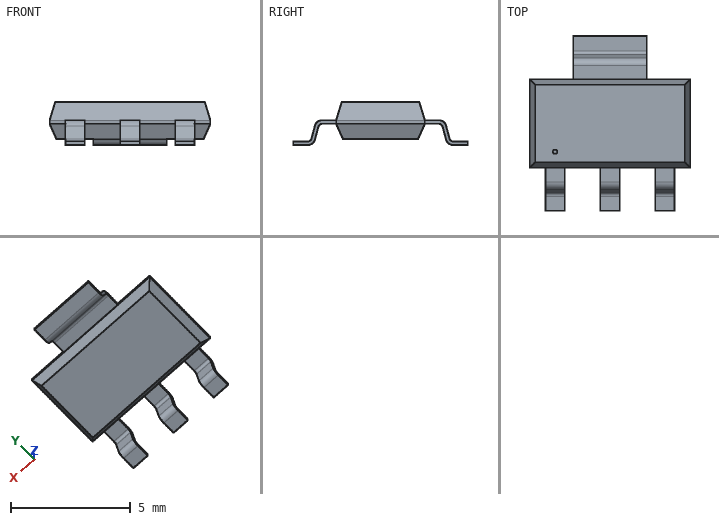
import cadquery as cq
import math

overall_length_y = 7.29
overall_height = 1.81

housing_x = 6.71
housing_y = 3.7
housing_bottom_z = 0.25
belt_top_z = 1.04
top_inset = 0.23
bottom_inset = 0.285

strip_thickness = 0.16
bend_radius = 0.23
leg_lean = math.radians(15)
bend_start_y = 2.435
lead_width = 0.82
lead_pitch = 2.29
tab_width = 3.08

belt_bottom_z = belt_top_z - strip_thickness

marker_diameter = 0.18
marker_depth = 0.04
marker_x = -lead_pitch
marker_y = -1.18


def frustum(start_z, height, inset):
    """Tapered block from the belt outline to an outline smaller by inset."""
    return (
        cq.Workplane("XY", origin=(0, 0, start_z))
        .rect(housing_x, housing_y)
        .workplane(offset=height)
        .rect(housing_x - 2 * inset, housing_y - 2 * inset)
        .loft(ruled=True)
    )


def make_marker():
    return (
        cq.Workplane("XY", origin=(marker_x, marker_y, overall_height - marker_depth))
        .circle(marker_diameter / 2)
        .extrude(marker_depth)
    )


def make_housing():
    belt = (
        cq.Workplane("XY", origin=(0, 0, belt_bottom_z))
        .rect(housing_x, housing_y)
        .extrude(strip_thickness)
    )
    upper = frustum(belt_top_z, overall_height - belt_top_z, top_inset)
    lower = frustum(belt_bottom_z, housing_bottom_z - belt_bottom_z, bottom_inset)
    return belt.union(upper).union(lower).cut(make_marker())


def make_strip(width):
    """Gull-wing strip leaving the -Y side of the housing, centred on X = 0."""
    turn = math.pi / 2 - leg_lean
    upper_z = belt_top_z - strip_thickness / 2
    foot_z = strip_thickness / 2
    bend_run = bend_radius * math.sin(turn)
    bend_drop = bend_radius * (1 - math.cos(turn))
    leg_drop = upper_z - foot_z - 2 * bend_drop
    leg_run = leg_drop * math.tan(leg_lean)

    half = strip_thickness / 2
    side_y = half * math.cos(leg_lean)
    side_z = half * math.sin(leg_lean)

    leg_top_y = -bend_start_y - bend_run
    leg_top_z = upper_z - bend_drop
    leg_bottom_y = leg_top_y - leg_run
    leg_bottom_z = foot_z + bend_drop
    foot_start_y = leg_bottom_y - bend_run

    return (
        cq.Workplane("YZ", origin=(-width / 2, 0, 0))
        .moveTo(-housing_y / 2, upper_z + half)
        .lineTo(-bend_start_y, upper_z + half)
        .tangentArcPoint((leg_top_y - side_y, leg_top_z + side_z), relative=False)
        .lineTo(leg_bottom_y - side_y, leg_bottom_z + side_z)
        .tangentArcPoint((foot_start_y, foot_z + half), relative=False)
        .lineTo(-overall_length_y / 2, foot_z + half)
        .lineTo(-overall_length_y / 2, foot_z - half)
        .lineTo(foot_start_y, foot_z - half)
        .tangentArcPoint((leg_bottom_y + side_y, leg_bottom_z - side_z), relative=False)
        .lineTo(leg_top_y + side_y, leg_top_z - side_z)
        .tangentArcPoint((-bend_start_y, upper_z - half), relative=False)
        .lineTo(-housing_y / 2, upper_z - half)
        .close()
        .extrude(width)
    )


def make_lead(index):
    return make_strip(lead_width).translate((index * lead_pitch, 0, 0))


def make_tab():
    return make_strip(tab_width).rotate((0, 0, 0), (0, 0, 1), 180)


housing = make_housing()
marker = make_marker()
tab = make_tab()
leads = [make_lead(index) for index in (-1, 0, 1)]

result = cq.Compound.makeCompound(
    [housing.val(), marker.val(), tab.val(), *[lead.val() for lead in leads]]
)